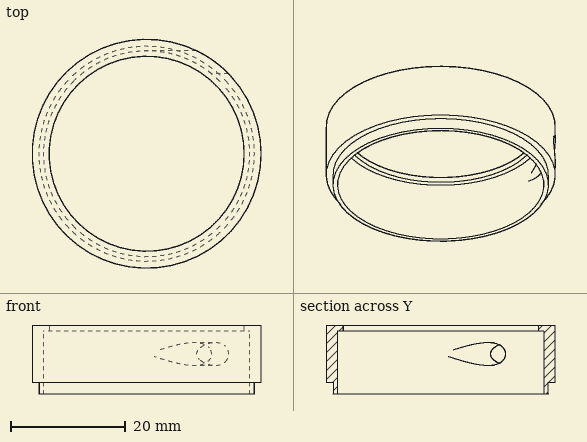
import cadquery as cq

outer_diameter = 40.0
bore_diameter = 36.0
lip_diameter = 34.0
spigot_diameter = 37.6
total_height = 12.0
spigot_height = 2.0
lip_thickness = 1.0
hole_diameter = 4.0

hole_y = (bore_diameter - hole_diameter) / 2
hole_z = (spigot_height + total_height) / 2
hole_length = outer_diameter / 2


def cylinder(diameter, bottom, top):
    """Upright cylinder between two heights."""
    return cq.Workplane("XY").workplane(offset=bottom).circle(diameter / 2).extrude(top - bottom)


def ring_body():
    """Ring with a reduced spigot below and an inward lip at the top."""
    spigot = cylinder(spigot_diameter, 0, spigot_height)
    band = cylinder(outer_diameter, spigot_height, total_height)
    bore = cylinder(bore_diameter, 0, total_height - lip_thickness)
    lip_opening = cylinder(lip_diameter, 0, total_height)
    return spigot.union(band).cut(bore).cut(lip_opening)


def tangential_hole():
    """Horizontal cutter from the tangent point of the bore out through the +X side."""
    return (
        cq.Workplane("YZ")
        .center(hole_y, hole_z)
        .circle(hole_diameter / 2)
        .extrude(hole_length)
    )


result = ring_body().cut(tangential_hole())